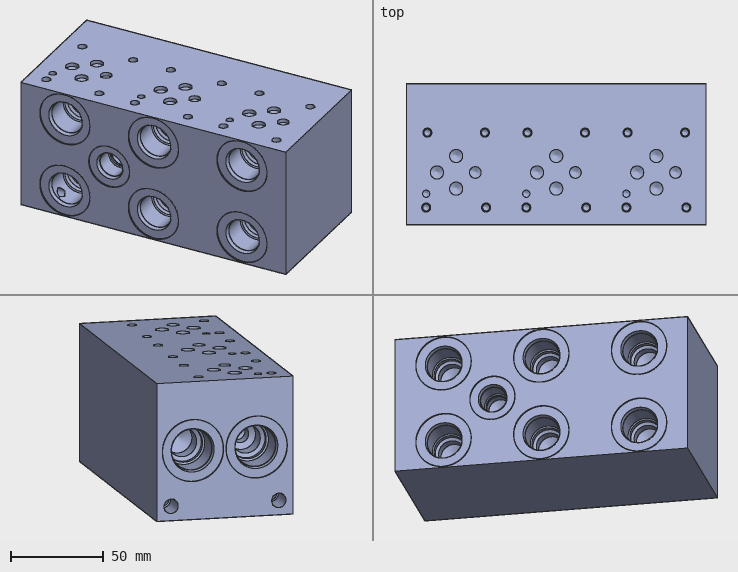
import cadquery as cq
import math

length = 162.0
width = 76.3
height = 76.3

drill_point_angle = 118.0
seal_taper = 12.0
seal_depth = 2.5
spotface_depth = 0.8

station_pitch = 54.1
station_count = 3
station_xs = [(i - (station_count - 1) / 2) * station_pitch for i in range(station_count)]
work_port_z = 22.2
work_port = dict(
    spotface=30.6, mouth=20.4, thread=19.1, thread_depth=16.2,
    core=17.5, core_depth=19.5, drill=14.2, drill_depth=25.9,
)

gauge_port = dict(
    spotface=25.0, mouth=15.9, thread=14.2, thread_depth=13.0,
    core=12.8, core_depth=14.5, drill=12.3, drill_depth=19.5,
)

main_port_y = 17.8
main_port = dict(
    spotface=34.2, mouth=24.0, thread=22.5, thread_depth=17.8,
    core=20.4, core_depth=21.0, drill=15.9, drill_depth=32.4,
)
pressure_pilot_diameter = 9.2
pressure_pilot_depth = 42.1

mount_y = 30.1
mount_z = -30.1
mount_hole = dict(thread=8.0, thread_depth=16.2, drill=6.3, drill_depth=21.0)

bolt_hole = dict(thread=4.9, thread_depth=13.0, drill=3.7, drill_depth=16.2)
rear_bolt_y = 11.7
front_bolt_y = rear_bolt_y - 40.5
rear_bolt_x = 15.5
front_bolt_x = 16.2
locator_diameter = 3.9
locator_depth = 4.9
locator_y = -21.4
passage_diameter = 7.1
small_passage_diameter = 6.3
passage_depth = 2.1
passage_y = -9.9
passage_x = 10.4
rear_passage_y = -1.0
front_passage_y = -18.6


def point_length(diameter):
    """Length of the conical tip left by a drill."""
    return diameter / 2 / math.tan(math.radians(drill_point_angle / 2))


def turned(profile):
    """Tool revolved about Z from (radius, z) points; its mouth lies on the plane z = 0."""
    return cq.Workplane("XZ").polyline(profile).close().revolve(360, (0, 0, 0), (0, 1, 0))


def blind_hole(diameter, depth):
    radius = diameter / 2
    return turned([(0, 0), (radius, 0), (radius, -depth), (0, -depth - point_length(diameter))])


def step_length(outer, inner):
    """Length of the conical shoulder a drill leaves between two diameters."""
    return point_length(outer) - point_length(inner)


def tapped_hole(thread, thread_depth, drill, drill_depth):
    """Threaded bore stepping down to a pointed drill."""
    return turned([
        (0, 0),
        (thread / 2, 0),
        (thread / 2, -thread_depth),
        (drill / 2, -thread_depth - step_length(thread, drill)),
        (drill / 2, -drill_depth),
        (0, -drill_depth - point_length(drill)),
    ])


def port(spotface, mouth, thread, thread_depth, core, core_depth, drill, drill_depth):
    """Spotface, tapered seal seat, thread, tap core and pointed drill, each narrower than the last."""
    seat_end = -spotface_depth - seal_depth
    seat_radius = mouth / 2 - seal_depth * math.tan(math.radians(seal_taper))
    return turned([
        (0, 0),
        (spotface / 2, 0),
        (spotface / 2, -spotface_depth),
        (mouth / 2, -spotface_depth),
        (seat_radius, seat_end),
        (thread / 2, seat_end),
        (thread / 2, -thread_depth),
        (core / 2, -thread_depth - step_length(thread, core)),
        (core / 2, -core_depth),
        (drill / 2, -core_depth - step_length(core, drill)),
        (drill / 2, -drill_depth),
        (0, -drill_depth - point_length(drill)),
    ])


def in_front(tool, x, z):
    return tool.rotate((0, 0, 0), (1, 0, 0), 90).translate((x, -width / 2, z))


def in_left_end(tool, y, z):
    return tool.rotate((0, 0, 0), (0, 1, 0), -90).translate((-length / 2, y, z))


def in_top(tool, x, y):
    return tool.translate((x, y, height / 2))


result = cq.Workplane("XY").box(length, width, height)

for x in station_xs:
    for z in (-work_port_z, work_port_z):
        result = result.cut(in_front(port(**work_port), x, z))
gauge_x = (station_xs[0] + station_xs[1]) / 2
result = result.cut(in_front(port(**gauge_port), gauge_x, 0))

for y in (-main_port_y, main_port_y):
    result = result.cut(in_left_end(port(**main_port), y, 0))
pressure_pilot = blind_hole(pressure_pilot_diameter, pressure_pilot_depth)
result = result.cut(in_left_end(pressure_pilot, -main_port_y, 0))
for y in (-mount_y, mount_y):
    result = result.cut(in_left_end(tapped_hole(**mount_hole), y, mount_z))

bolt = tapped_hole(**bolt_hole)
passage = blind_hole(passage_diameter, passage_depth)
small_passage = blind_hole(small_passage_diameter, passage_depth)
locator = blind_hole(locator_diameter, locator_depth)
for x in station_xs:
    for side in (-1, 1):
        result = result.cut(in_top(bolt, x + side * rear_bolt_x, rear_bolt_y))
        result = result.cut(in_top(bolt, x + side * front_bolt_x, front_bolt_y))
    for y in (rear_passage_y, front_passage_y):
        result = result.cut(in_top(passage, x, y))
    result = result.cut(in_top(passage, x - passage_x, passage_y))
    result = result.cut(in_top(small_passage, x + passage_x, passage_y))
    result = result.cut(in_top(locator, x - front_bolt_x, locator_y))